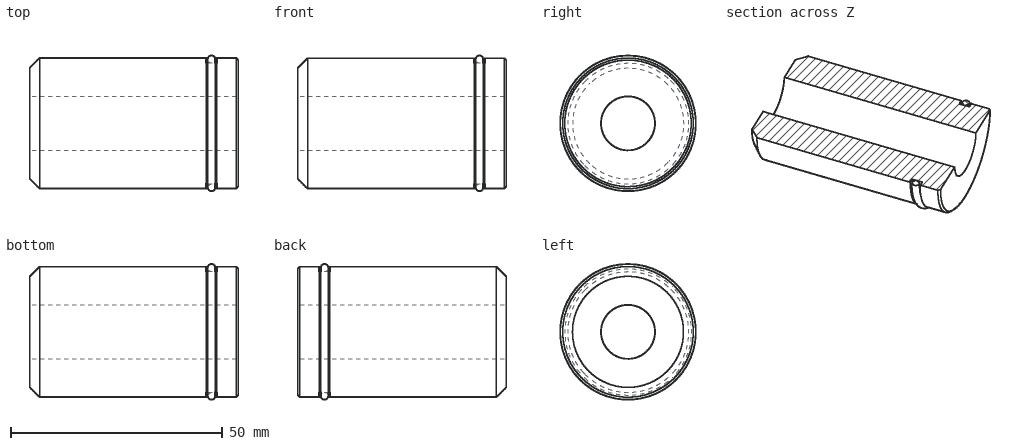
import cadquery as cq

LENGTH = 49.3
BODY_DIAMETER = 30.9
BORE_DIAMETER = 12.7
FRONT_CHAMFER = 2.3
REAR_CHAMFER = 0.5

GROOVE_DIAMETER = 28.6
GROOVE_WIDTH = 2.5
REAR_LAND = 5.1

RING_OUTER_DIAMETER = 32.15
RING_SECTION_RADIUS = (RING_OUTER_DIAMETER - GROOVE_DIAMETER) / 4
RING_CENTRE_RADIUS = GROOVE_DIAMETER / 2 + RING_SECTION_RADIUS

GROOVE_CENTRE_X = LENGTH - REAR_LAND - GROOVE_WIDTH / 2


def make_sleeve():
    """Bored cylinder, chamfered at both ends, with a groove for the seal ring."""
    sleeve = cq.Workplane("YZ").circle(BODY_DIAMETER / 2).extrude(LENGTH)
    sleeve = sleeve.faces("<X").chamfer(FRONT_CHAMFER)
    sleeve = sleeve.faces(">X").chamfer(REAR_CHAMFER)

    bore = cq.Workplane("YZ").circle(BORE_DIAMETER / 2).extrude(LENGTH)

    groove = (
        cq.Workplane("YZ", origin=(GROOVE_CENTRE_X, 0, 0))
        .circle(BODY_DIAMETER / 2)
        .circle(GROOVE_DIAMETER / 2)
        .extrude(GROOVE_WIDTH / 2, both=True)
    )
    return sleeve.cut(bore).cut(groove)


def make_seal_ring():
    """Ring of round section, centred in the groove and touching its floor."""
    return (
        cq.Workplane("XZ")
        .center(GROOVE_CENTRE_X, RING_CENTRE_RADIUS)
        .circle(RING_SECTION_RADIUS)
        .revolve(360, (0, -RING_CENTRE_RADIUS), (1, -RING_CENTRE_RADIUS))
    )


sleeve = make_sleeve()
seal_ring = make_seal_ring()

result = cq.Compound.makeCompound([sleeve.solids().val(), seal_ring.val()])